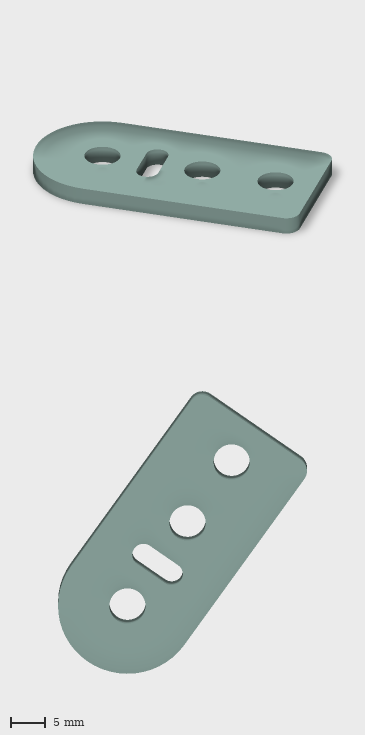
import cadquery as cq

length = 42.0
width = 20.0
thickness = 2.5
corner_radius = 2.0
end_radius = width / 2

hole_diameter = 5.2
middle_hole_x = 15.0
far_hole_x = 26.0
hole_positions = [(0, 0), (middle_hole_x, 0), (far_hole_x, 0)]
slot_x = middle_hole_x / 2
slot_length = 8.2
slot_width = 3.25


def make_plate():
    square_end_x = length - end_radius
    outline = (
        cq.Workplane("XY")
        .moveTo(0, -end_radius)
        .lineTo(square_end_x, -end_radius)
        .lineTo(square_end_x, end_radius)
        .lineTo(0, end_radius)
        .threePointArc((-end_radius, 0), (0, -end_radius))
        .close()
    )
    return outline.extrude(thickness).edges("|Z and >X").fillet(corner_radius)


def make_holes():
    return cq.Workplane("XY").pushPoints(hole_positions).circle(hole_diameter / 2).extrude(thickness)


def make_slot():
    return cq.Workplane("XY").center(slot_x, 0).slot2D(slot_length, slot_width, 90).extrude(thickness)


result = make_plate().cut(make_holes()).cut(make_slot())